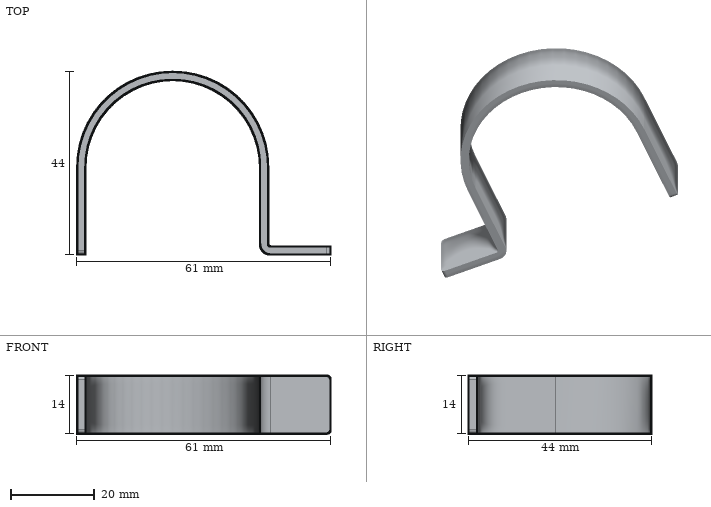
import cadquery as cq

thickness = 2.0
strip_width = 14.0

inner_radius = 21.0
outer_radius = inner_radius + thickness
leg_length = 21.0
foot_end_x = 38.0
bend_inner_radius = 0.5
bend_outer_radius = bend_inner_radius + thickness

corner_radius = 1.0

base_y = -leg_length
foot_top_y = base_y + thickness
bend_center_x = outer_radius + bend_inner_radius
bend_center_y = foot_top_y + bend_inner_radius


def make_strip():
    """Half-round loop with two straight legs; the +X leg bends out into a foot."""
    profile = (
        cq.Workplane("XY")
        .moveTo(-outer_radius, base_y)
        .lineTo(-outer_radius, 0)
        .threePointArc((0, outer_radius), (outer_radius, 0))
        .lineTo(outer_radius, bend_center_y)
        .radiusArc((bend_center_x, foot_top_y), -bend_inner_radius)
        .lineTo(foot_end_x, foot_top_y)
        .lineTo(foot_end_x, base_y)
        .lineTo(bend_center_x, base_y)
        .radiusArc((inner_radius, bend_center_y), bend_outer_radius)
        .lineTo(inner_radius, 0)
        .threePointArc((0, inner_radius), (-inner_radius, 0))
        .lineTo(-inner_radius, base_y)
        .close()
    )
    return profile.extrude(strip_width / 2, both=True)


def round_free_ends(strip):
    """Round the corners at the plain leg's end and at the foot's end."""
    leg_end_center = (-(inner_radius + outer_radius) / 2, base_y, 0)
    leg_end = strip.faces(cq.selectors.NearestToPointSelector(leg_end_center))
    strip = leg_end.edges("|X").fillet(corner_radius)
    return strip.faces(">X").edges("|Y").fillet(corner_radius)


result = round_free_ends(make_strip())